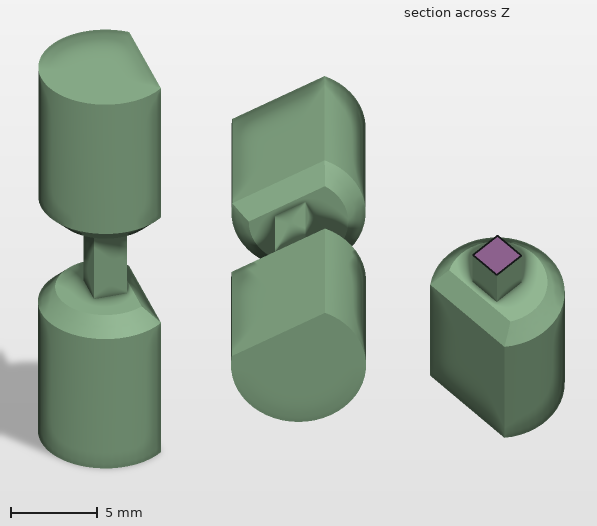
import cadquery as cq

lower_radius = 3.9
upper_radius = 3.875
flat_offset = 2.4
cylinder_length = 10.0
chamfer_size = 1.0
neck_length = 5.3
neck_width = 2.0

neck_bottom = cylinder_length
neck_top = neck_bottom + neck_length


def flatted_cylinder(radius, base_height):
    """Vertical cylinder with one flat facing +Y."""
    base_plane = cq.Workplane("XY").workplane(offset=base_height)
    cylinder = base_plane.circle(radius).extrude(cylinder_length)
    diameter = 2 * radius
    kept_block = base_plane.center(0, flat_offset - radius).rect(diameter, diameter).extrude(cylinder_length)
    return cylinder.intersect(kept_block)


def square_neck():
    """Square bar joining the two cylinders on their common axis."""
    base_plane = cq.Workplane("XY").workplane(offset=neck_bottom)
    return base_plane.rect(neck_width, neck_width).extrude(neck_length)


lower_cylinder = flatted_cylinder(lower_radius, 0).faces(">Z").chamfer(chamfer_size)
upper_cylinder = flatted_cylinder(upper_radius, neck_top).faces("<Z").chamfer(chamfer_size)

result = lower_cylinder.union(square_neck()).union(upper_cylinder)